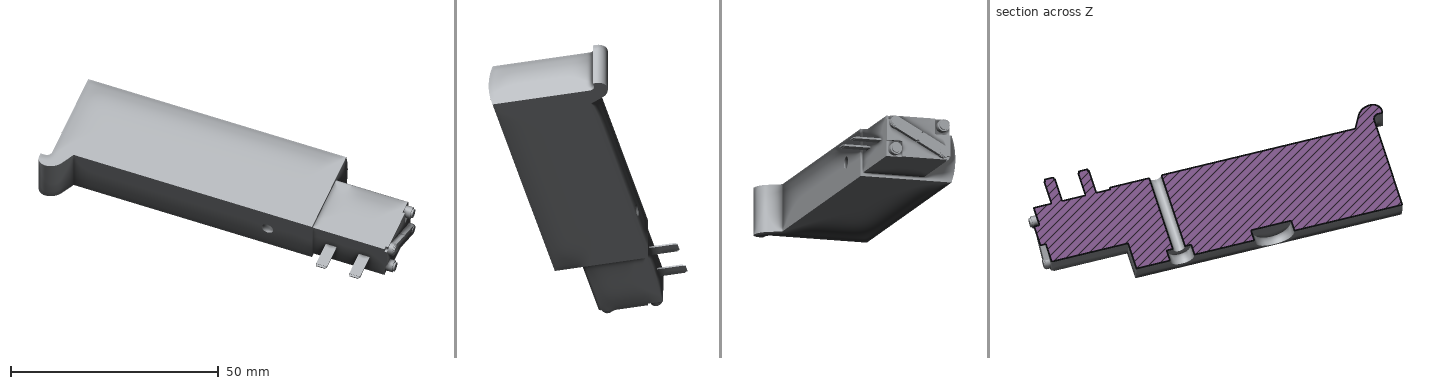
import cadquery as cq
import math

housing_left = 2.5
housing_right = 69.15
housing_height = 11.7
housing_back = 24.0
crown_rise = 1.0

hook_top = -2.4
hook_bottom = -5.5
hook_inner_radius = 1.4
hook_tip_radius = 2.25
hook_outer_radius = 4.1
hook_slope_degrees = 62

button_x = 34.6
button_diameter = 10.0
screw_x = 57.65
screw_hole_diameter = 3.0
screw_head_diameter = 6.0
recess_depth = 3.0

block_right = 88.3
block_front = 0.5
block_back = 16.5
block_height = 10.0
block_edge_radius = 0.8
notch_depth = 0.6
large_notch = 3.9
small_notch = 0.9

boss_diameter = 3.0
boss_half_pitch_y = 6.0
boss_half_pitch_z = 3.2
boss_right = 89.35
bar_right = 89.6
bar_width = 2.7
bar_groove_width = 0.45
bar_groove_depth = 0.4
cap_diameter = 2.25
overall_right = 89.8

pin_positions = (73.9, 82.4)
pin_width = 2.8
pin_thickness = 0.45
pin_shoulder = -5.9
pin_end = -6.5
pin_tip_inset = 0.225
pin_tip_thickness = 0.3

block_middle = (block_front + block_back) / 2


def box_between(x_range, y_range, z_range):
    """Axis-aligned box between the given limits."""
    (x0, x1), (y0, y1), (z0, z1) = x_range, y_range, z_range
    return cq.Workplane("XY").box(x1 - x0, y1 - y0, z1 - z0, centered=False).translate((x0, y0, z0))


def make_housing():
    """Hooked outline, trimmed at the back by a shallow cylindrical crown."""
    slope = math.radians(hook_slope_degrees)
    outer_x = hook_tip_radius
    outer_y = hook_bottom + hook_outer_radius
    slope_start = (outer_x + hook_outer_radius * math.sin(slope),
                   outer_y - hook_outer_radius * math.cos(slope))
    slope_end_x = slope_start[0] - slope_start[1] / math.tan(slope)
    arc_middle = (outer_x + hook_outer_radius * math.sin(slope / 2),
                  outer_y - hook_outer_radius * math.cos(slope / 2))
    outline = (
        cq.Workplane("XY").workplane(offset=-housing_height / 2)
        .moveTo(housing_left, housing_back)
        .lineTo(housing_left, hook_top + hook_inner_radius)
        .radiusArc((housing_left - hook_inner_radius, hook_top), hook_inner_radius)
        .lineTo(0, hook_top)
        .lineTo(0, hook_bottom + hook_tip_radius)
        .radiusArc((hook_tip_radius, hook_bottom), -hook_tip_radius)
        .threePointArc(arc_middle, slope_start)
        .lineTo(slope_end_x, 0)
        .lineTo(housing_right, 0)
        .lineTo(housing_right, housing_back)
        .close()
        .extrude(housing_height)
    )
    half_height = housing_height / 2
    crown_edge = housing_back - crown_rise
    crown = (
        cq.Workplane("YZ")
        .moveTo(hook_bottom, -half_height)
        .lineTo(crown_edge, -half_height)
        .threePointArc((housing_back, 0), (crown_edge, half_height))
        .lineTo(hook_bottom, half_height)
        .close()
        .extrude(housing_right)
    )
    return outline.intersect(crown)


def cylinder_from_back(x, diameter, depth):
    """Cylinder that enters the housing from its back face."""
    return (
        cq.Workplane("XZ", origin=(x, housing_back, 0))
        .circle(diameter / 2)
        .extrude(depth)
    )


def make_block():
    """Connector block with rounded back edges and stepped end corners."""
    half_height = block_height / 2
    block = box_between(
        (housing_right, block_right), (block_front, block_back), (-half_height, half_height)
    )
    block = block.faces(">Y").edges("|X").fillet(block_edge_radius)
    for y_side in (-1, 1):
        for z_side in (-1, 1):
            size = large_notch if y_side == z_side else small_notch
            y_limits = sorted((block_middle + y_side * (block_back - block_middle),
                               block_middle + y_side * (block_back - block_middle - size)))
            z_limits = sorted((z_side * half_height, z_side * (half_height - size)))
            block = block.cut(
                box_between((block_right - notch_depth, block_right), y_limits, z_limits)
            )
    return block


def make_bosses(diameter, end_x):
    """Four corner cylinders growing from the notch floor to end_x."""
    start_x = block_right - notch_depth
    return (
        cq.Workplane("YZ", origin=(start_x, block_middle, 0))
        .rect(2 * boss_half_pitch_y, 2 * boss_half_pitch_z, forConstruction=True)
        .vertices()
        .circle(diameter / 2)
        .extrude(end_x - start_x)
    )


def make_bar():
    """Round-ended diagonal bar with a narrow groove across the middle of each long side."""
    boss_spacing = 2 * math.hypot(boss_half_pitch_y, boss_half_pitch_z)
    tilt = math.degrees(math.atan2(boss_half_pitch_z, boss_half_pitch_y))
    length = bar_right - block_right
    bar = cq.Workplane("YZ").slot2D(boss_spacing + bar_width, bar_width).extrude(length)
    grooves = (
        cq.Workplane("YZ")
        .pushPoints([(0, -bar_width / 2), (0, bar_width / 2)])
        .rect(bar_groove_width, 2 * bar_groove_depth)
        .extrude(length)
    )
    return (
        bar.cut(grooves)
        .rotate((0, 0, 0), (1, 0, 0), -tilt)
        .translate((block_right, block_middle, 0))
    )


def make_pin(x):
    """Flat blade with a thinner, narrower tip."""
    half_width = pin_width / 2
    half_tip = half_width - pin_tip_inset
    blade = box_between(
        (x - half_width, x + half_width),
        (pin_shoulder, block_front),
        (-pin_thickness / 2, pin_thickness / 2),
    )
    tip = box_between(
        (x - half_tip, x + half_tip),
        (pin_end, pin_shoulder),
        (-pin_tip_thickness / 2, pin_tip_thickness / 2),
    )
    return blade.union(tip)


housing = (
    make_housing()
    .cut(cylinder_from_back(button_x, button_diameter, recess_depth))
    .cut(cylinder_from_back(screw_x, screw_head_diameter, recess_depth))
    .cut(cylinder_from_back(screw_x, screw_hole_diameter, housing_back))
)

result = (
    housing
    .union(make_block())
    .union(make_bar())
    .union(make_bosses(boss_diameter, boss_right))
    .union(make_bosses(cap_diameter, overall_right))
)
for pin_x in pin_positions:
    result = result.union(make_pin(pin_x))